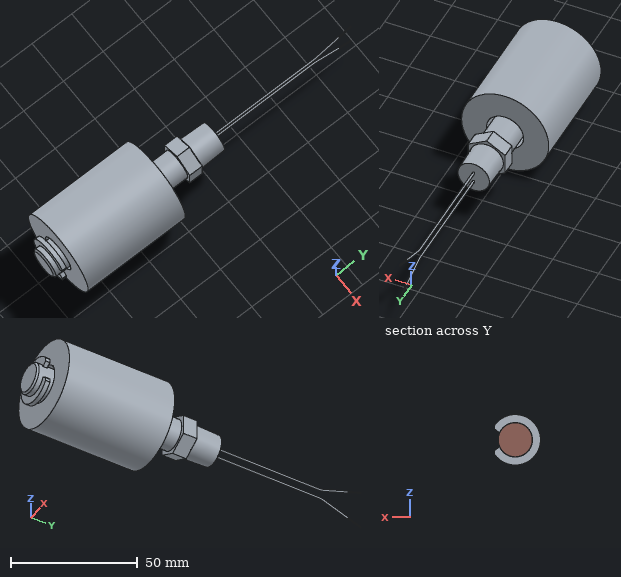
import cadquery as cq
import math

OVERALL_LENGTH = 154.9

STEM_RADIUS = 6.8
TIP_CHAMFER = 0.8
HEX_START = 67.2
HEX_END = 73.6
HEX_ACROSS_FLATS = 16.1
THREAD_END = 85.8
THREAD_BASE_RADIUS = 7.3
THREAD_TAPER = 1 / 16
THREAD_END_RADIUS = THREAD_BASE_RADIUS - THREAD_TAPER / 2 * (THREAD_END - HEX_END)

FLOAT_RADIUS = 19.0
FLOAT_BORE_RADIUS = 8.0
FLOAT_START = 7.3
FLOAT_END = 56.4

CLIP_RADIUS = 10.0
CLIP_START = 3.0
CLIP_END = 5.0
CLIP_OPEN_SIDE_X = 8.2
MOUTH_INNER_X = 6.2
MOUTH_INNER_HALF_WIDTH = 2.6
MOUTH_OUTER_HALF_WIDTH = 4.2

WIRE_RADIUS = 0.5
CONDUCTOR_RADIUS = 0.23
WIRE_OFFSET = 2.2
BEND_START = 135.2
BEND_RADIUS = 7.0
SPLAY_ANGLE = 20.0
STRIP_POSITION = 149.0


def cross_section(y):
    """Sketch plane across the axis at a Y position, with its local X along +Z."""
    return cq.Workplane(cq.Plane(origin=(0, y, 0), xDir=(0, 0, 1), normal=(0, 1, 0)))


def cylinder(radius, start, end):
    """Cylinder on the Y axis between two Y positions."""
    return cross_section(start).circle(radius).extrude(end - start)


def make_stem():
    shaft = cylinder(STEM_RADIUS, 0, HEX_START).faces("<Y").chamfer(TIP_CHAMFER)
    hexagon = (
        cross_section(HEX_START)
        .polygon(6, HEX_ACROSS_FLATS / math.cos(math.pi / 6))
        .extrude(HEX_END - HEX_START)
    )
    thread = (
        cq.Workplane("YZ")
        .moveTo(HEX_END, 0)
        .lineTo(HEX_END, THREAD_BASE_RADIUS)
        .lineTo(THREAD_END, THREAD_END_RADIUS)
        .lineTo(THREAD_END, 0)
        .close()
        .revolve(360, (0, 0, 0), (1, 0, 0))
    )
    return shaft.union(hexagon).union(thread)


def make_float():
    return cylinder(FLOAT_RADIUS, FLOAT_START, FLOAT_END).cut(
        cylinder(FLOAT_BORE_RADIUS, FLOAT_START, FLOAT_END)
    )


def make_clip():
    tip_z = math.sqrt(CLIP_RADIUS**2 - CLIP_OPEN_SIDE_X**2)
    plate = (
        cq.Workplane("XZ", origin=(0, CLIP_START, 0))
        .moveTo(CLIP_OPEN_SIDE_X, tip_z)
        .threePointArc((-CLIP_RADIUS, 0), (CLIP_OPEN_SIDE_X, -tip_z))
        .close()
        .extrude(CLIP_START - CLIP_END)
    )
    mouth = (
        cq.Workplane("XZ", origin=(0, CLIP_START, 0))
        .moveTo(0, -MOUTH_INNER_HALF_WIDTH)
        .lineTo(MOUTH_INNER_X, -MOUTH_INNER_HALF_WIDTH)
        .lineTo(CLIP_OPEN_SIDE_X, -MOUTH_OUTER_HALF_WIDTH)
        .lineTo(CLIP_OPEN_SIDE_X, MOUTH_OUTER_HALF_WIDTH)
        .lineTo(MOUTH_INNER_X, MOUTH_INNER_HALF_WIDTH)
        .lineTo(0, MOUTH_INNER_HALF_WIDTH)
        .close()
        .extrude(CLIP_START - CLIP_END)
    )
    return plate.cut(cylinder(STEM_RADIUS, CLIP_START, CLIP_END)).cut(mouth)


def make_wire(side):
    """Insulated wire with a bare conductor end; side is +1 (upper) or -1 (lower)."""
    splay = math.radians(SPLAY_ANGLE)

    def bend_point(angle):
        y = BEND_START + BEND_RADIUS * math.sin(angle)
        z = WIRE_OFFSET + BEND_RADIUS * (1 - math.cos(angle))
        return (y, side * z)

    def splayed_point(y):
        bend_y, bend_z = bend_point(splay)
        return (y, bend_z + side * (y - bend_y) * math.tan(splay))

    strip_point = splayed_point(STRIP_POSITION)
    insulation_path = (
        cq.Workplane("YZ")
        .moveTo(THREAD_END, side * WIRE_OFFSET)
        .lineTo(BEND_START, side * WIRE_OFFSET)
        .threePointArc(bend_point(splay / 2), bend_point(splay))
        .lineTo(*strip_point)
    )
    insulation = (
        cq.Workplane("XZ", origin=(0, THREAD_END, side * WIRE_OFFSET))
        .circle(WIRE_RADIUS)
        .sweep(insulation_path)
    )

    conductor_end = OVERALL_LENGTH - CONDUCTOR_RADIUS * math.sin(splay)
    conductor_length = (conductor_end - STRIP_POSITION) / math.cos(splay)
    strip_plane = cq.Plane(
        origin=(0, *strip_point),
        xDir=(1, 0, 0),
        normal=(0, math.cos(splay), side * math.sin(splay)),
    )
    conductor = cq.Workplane(strip_plane).circle(CONDUCTOR_RADIUS).extrude(conductor_length)
    return insulation.union(conductor)


stem = make_stem()
float_body = make_float()
clip = make_clip()
wires = [make_wire(side) for side in (1, -1)]

result = cq.Compound.makeCompound(
    [stem.val(), float_body.val(), clip.val(), *[wire.val() for wire in wires]]
)